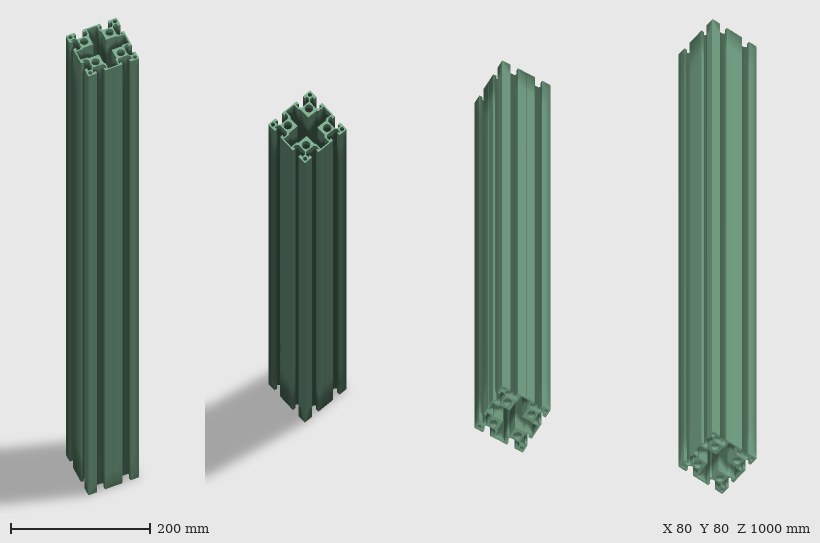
import cadquery as cq

length = 1000.0
width = 80.0
half_width = width / 2
corner_radius = 1.0

slot_pitch = 40.0
slot_opening = 12.0
slot_inner_width = 20.0
slot_depth = 12.0
slot_floor_chamfer = 3.0
lip_depth = 5.0
lip_root_depth = 3.5
lip_radius = 0.5

floor_groove_width = 1.5
face_groove_width = 1.0
groove_depth = 0.5

bore_diameter = 12.0
corner_wall = 2.0
corner_hole_diameter = slot_pitch / 2 - slot_inner_width / 2 - 2 * corner_wall
corner_hole_pitch = width - 2 * corner_wall - corner_hole_diameter

arm_half_width = slot_pitch / 2 - slot_inner_width / 2
arm_neck_half_width = 8.0
arm_neck_start = 26.0
face_wall = 2.0


def mirrored_prism(right_side, centre_points=()):
    """Prism whose outline is right_side, centre_points, then right_side mirrored in the YZ plane."""
    left_side = [(-x, y) for x, y in reversed(right_side)]
    outline = [*right_side, *centre_points, *left_side]
    return cq.Workplane("XY").polyline(outline).close().extrude(length)


def t_slot():
    """T-slot in the -Y face, centred on X = 0, with a V-groove in its floor."""
    face = -half_width
    floor = face + slot_depth
    half_opening = slot_opening / 2
    half_inner = slot_inner_width / 2
    right_side = [
        (half_opening, face),
        (half_opening, face + lip_depth),
        (half_inner, face + lip_root_depth),
        (half_inner, floor - slot_floor_chamfer),
        (half_inner - slot_floor_chamfer, floor),
        (floor_groove_width / 2, floor),
    ]
    return mirrored_prism(right_side, [(0, floor + groove_depth)])


def face_groove():
    """V-groove along the middle of the -Y face."""
    return mirrored_prism([(face_groove_width / 2, -half_width)], [(0, groove_depth - half_width)])


def hollow_arm():
    """Arm of the central hollow, from the far side of the centre square toward the -Y face."""
    narrowing = arm_half_width - arm_neck_half_width
    return mirrored_prism([
        (arm_half_width, arm_half_width),
        (arm_half_width, -arm_neck_start),
        (arm_neck_half_width, -arm_neck_start - narrowing),
        (arm_neck_half_width, face_wall - half_width),
    ])


def four_holes(pitch, diameter):
    """Through holes at the corners of a centred square."""
    centres = cq.Workplane("XY").rect(pitch, pitch, forConstruction=True).vertices()
    return centres.circle(diameter / 2).extrude(length)


def is_lip_edge(edge):
    """True for the lengthwise edges where a slot opening meets an outer face."""
    tolerance = 0.01
    centre = edge.Center()
    along, outward = sorted((abs(centre.x), abs(centre.y)))
    from_slot_centre = abs(along - slot_pitch / 2)
    on_face = abs(outward - half_width) < tolerance
    return on_face and abs(from_slot_centre - slot_opening / 2) < tolerance


body = cq.Workplane("XY").rect(width, width).extrude(length)
body = body.edges("|Z").fillet(corner_radius)
body = body.cut(four_holes(slot_pitch, bore_diameter))
body = body.cut(four_holes(corner_hole_pitch, corner_hole_diameter))

face_cuts = [hollow_arm(), face_groove()]
for side in (-1, 1):
    face_cuts.append(t_slot().translate((side * slot_pitch / 2, 0, 0)))

for angle in (0, 90, 180, 270):
    for cutter in face_cuts:
        body = body.cut(cutter.rotate((0, 0, 0), (0, 0, 1), angle))

lip_edges = [edge for edge in body.edges("|Z").vals() if is_lip_edge(edge)]
result = body.newObject(lip_edges).fillet(lip_radius)